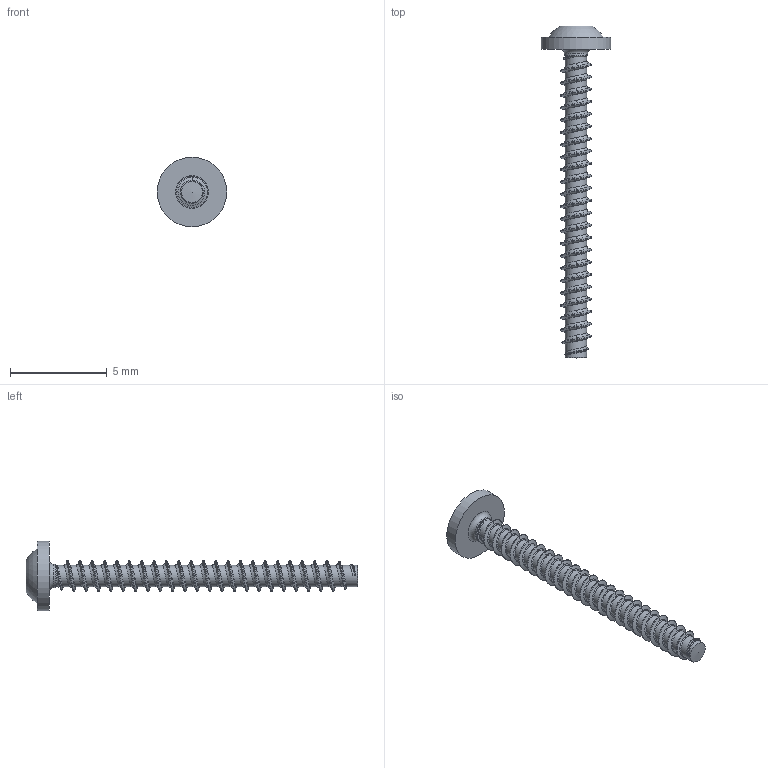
import cadquery as cq
import math


flange_diameter = 3.6
flange_thickness = 0.62
head_height = 1.2
dome_top_diameter = 1.64
dome_base_diameter = 2.84

shank_length = 16.0
neck_diameter = 1.2
neck_length = 0.35
neck_fillet = 0.25
core_diameter = 1.1
tip_cone_depth = 0.03

thread_diameter = 1.6
pitch = 0.64
thread_start_y = -0.315
thread_start_angle = math.pi / 2
turns = 24.25
start_taper_turns = 0.75
end_taper_turns = 1.5
thread_end_height = 0.035

crest_width = 0.03
ridge_width = 0.15
foot_head_reach = 0.25
foot_tip_reach = 0.12
foot_height = 0.06
root_overlap = 0.015

points_per_turn = 16

flange_radius = flange_diameter / 2
neck_radius = neck_diameter / 2
core_radius = core_diameter / 2
root_radius = core_radius - root_overlap
thread_height = thread_diameter / 2 - core_radius


def dome_sphere():
    """Centre height and radius of the sphere through both rims of the dome."""
    top_radius = dome_top_diameter / 2
    base_radius = dome_base_diameter / 2
    rise = head_height**2 - flange_thickness**2
    spread = base_radius**2 - top_radius**2
    center_y = (rise - spread) / (2 * (head_height - flange_thickness))
    return center_y, math.hypot(top_radius, head_height - center_y)


def make_body():
    """Head, neck and core as one revolved profile."""
    center_y, sphere_radius = dome_sphere()
    middle_y = (head_height + flange_thickness) / 2
    middle_radius = math.sqrt(sphere_radius**2 - (middle_y - center_y) ** 2)
    fillet_offset = neck_fillet * (1 - math.sqrt(0.5))
    return (
        cq.Workplane("XY")
        .moveTo(0, head_height)
        .lineTo(dome_top_diameter / 2, head_height)
        .threePointArc((middle_radius, middle_y), (dome_base_diameter / 2, flange_thickness))
        .lineTo(flange_radius, flange_thickness)
        .lineTo(flange_radius, 0)
        .lineTo(neck_radius + neck_fillet, 0)
        .threePointArc(
            (neck_radius + fillet_offset, -fillet_offset),
            (neck_radius, -neck_fillet),
        )
        .lineTo(neck_radius, -neck_length)
        .lineTo(core_radius, -neck_length - (neck_radius - core_radius))
        .lineTo(core_radius, tip_cone_depth - shank_length)
        .lineTo(0, -shank_length)
        .close()
        .revolve(360, (0, 0, 0), (0, 1, 0))
    )


def thread_share_at(turn):
    """Share of the full thread section: grows out of the neck and runs out near the tip."""
    start_share = (neck_radius - core_radius) / thread_height
    end_share = thread_end_height / thread_height
    growth = min(1, turn / start_taper_turns)
    runout = min(1, (turns - turn) / end_taper_turns)
    return min(
        start_share + growth * (1 - start_share),
        end_share + runout * (1 - end_share),
    )


def thread_section_at(turn):
    """Corner points of the thread section as (radius, axial offset), from head side to tip side."""
    share = thread_share_at(turn)
    foot_radius = core_radius + share * foot_height
    crest_radius = core_radius + share * thread_height
    ridge_reach = share * ridge_width / 2
    crest_reach = share * crest_width / 2
    return [
        (root_radius, foot_head_reach),
        (foot_radius, ridge_reach),
        (crest_radius, crest_reach),
        (crest_radius, -crest_reach),
        (foot_radius, -ridge_reach),
        (root_radius, -foot_tip_reach),
    ]


def section_points(turn):
    """Thread section placed on the shank after the given number of turns."""
    angle = thread_start_angle + 2 * math.pi * turn
    center_y = thread_start_y - pitch * turn
    return [
        cq.Vector(radius * math.cos(angle), center_y + offset, radius * math.sin(angle))
        for radius, offset in thread_section_at(turn)
    ]


def thread_rails(first_turn, last_turn):
    """One helical edge through each corner of the thread section."""
    steps = round((last_turn - first_turn) * points_per_turn)
    sections = [section_points(first_turn + step / points_per_turn) for step in range(steps + 1)]
    return [cq.Edge.makeSpline(list(corner_path)) for corner_path in zip(*sections)]


def end_cap(turn):
    """Flat face closing the thread at its start or end."""
    return cq.Face.makeFromWires(cq.Wire.makePolygon(section_points(turn), close=True))


def make_thread():
    """Thread bounded by ruled faces between neighbouring rails, with one set of faces per turn."""
    faces = [end_cap(0), end_cap(turns)]
    for first_turn in range(math.ceil(turns)):
        rails = thread_rails(first_turn, min(turns, first_turn + 1))
        next_rails = rails[1:] + rails[:1]
        for rail, next_rail in zip(rails, next_rails):
            faces.append(cq.Face.makeRuledSurface(rail, next_rail))
    return cq.Solid.makeSolid(cq.Shell.makeShell(faces))


result = make_body().union(cq.Workplane(make_thread())).solids()